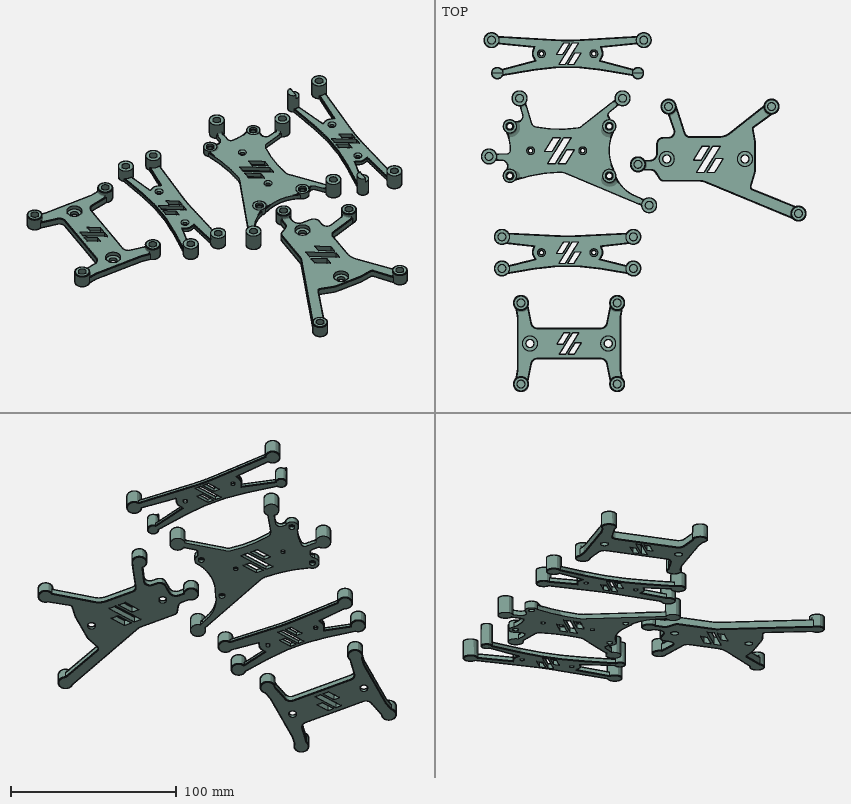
import cadquery as cq
import math

BOSS_D = 9.0
INSERT_D = 4.8
INSERT_DEPTH = 6.0
EDGE = 0.5
BOSS_FILLET = 1.3
SCREW_D = 2.5
SCREW_HEAD_D = 4.8
CLEARANCE_D = 4.8
COUNTERBORE_D = 9.0
COUNTERBORE_DEPTH = 2.5

WINDOW_LEAN = 0.62
WINDOW_WIDTH = 0.29
WINDOW_PITCH = 0.41
WINDOW_OVERLAP = 0.03

LARGE_WINDOW = 15.5
SMALL_WINDOW = 12.8


def rounded_outline(corners):
    """Closed wire through (x, y, radius) corners, each rounded by its radius (0 leaves it sharp)."""
    stretches = []
    for i, (x, y, radius) in enumerate(corners):
        before, after = corners[i - 1], corners[(i + 1) % len(corners)]
        corner = cq.Vector(x, y)
        to_before = (cq.Vector(before[0], before[1]) - corner).normalized()
        to_after = (cq.Vector(after[0], after[1]) - corner).normalized()
        if radius == 0:
            stretches.append([corner])
            continue
        half_angle = to_before.getAngle(to_after) / 2
        tangent_length = radius / math.tan(half_angle)
        bisector = (to_before + to_after).normalized()
        nearest = radius / math.sin(half_angle) - radius
        stretches.append([
            corner + to_before * tangent_length,
            corner + bisector * nearest,
            corner + to_after * tangent_length,
        ])

    edges = []
    for i, stretch in enumerate(stretches):
        if len(stretch) == 3:
            edges.append(cq.Edge.makeThreePointArc(*stretch))
        edges.append(cq.Edge.makeLine(stretch[-1], stretches[(i + 1) % len(stretches)][0]))
    return cq.Wire.assembleEdges(edges)


def prism(outline, bottom, height):
    """Straight extrusion of a closed wire."""
    return cq.Workplane("XY").add(outline).toPending().extrude(height).translate((0, 0, bottom))


def cylinders(points, diameter, bottom, top):
    """Upright cylinders at the given points."""
    return (
        cq.Workplane("XY", origin=(0, 0, bottom))
        .pushPoints(points)
        .circle(diameter / 2)
        .extrude(top - bottom)
    )


def insert_holes(points, top):
    """Blind holes drilled down from the boss tops."""
    return cylinders(points, INSERT_D, top - INSERT_DEPTH, top)


def screw_holes(points, bottom, top):
    """Through holes with a 90 degree countersink in the top face."""
    sink_depth = (SCREW_HEAD_D - SCREW_D) / 2
    holes = cylinders(points, SCREW_D, bottom, top)
    for x, y in points:
        sink = cq.Solid.makeCone(SCREW_D / 2, SCREW_HEAD_D / 2, sink_depth, cq.Vector(x, y, top - sink_depth))
        holes = holes.union(cq.Workplane(sink))
    return holes


def counterbored_holes(points, bottom, top):
    """Clearance holes with a flat counterbore in the top face."""
    heads = cylinders(points, COUNTERBORE_D, top - COUNTERBORE_DEPTH, top)
    return cylinders(points, CLEARANCE_D, bottom, top).union(heads)


def windows(center, height, bottom, top):
    """One full-height slanted window between two short ones."""
    half = height / 2
    half_width = height * WINDOW_WIDTH / 2
    reach = height * WINDOW_OVERLAP
    cutter = cq.Workplane("XY")
    for column, low, high in [(-1, -reach, half), (0, -half, half), (1, -half, reach)]:
        shift = column * height * WINDOW_PITCH
        low_x = shift + low * WINDOW_LEAN
        high_x = shift + high * WINDOW_LEAN
        window = (
            cq.Workplane("XY", origin=(center[0], center[1], bottom))
            .polyline([
                (low_x - half_width, low),
                (low_x + half_width, low),
                (high_x + half_width, high),
                (high_x - half_width, high),
            ])
            .close()
            .extrude(top - bottom)
        )
        cutter = cutter.add(window)
    return cutter.combine()


def flare(center, radius, run, rise, plate_top):
    """Concave collar that leaves the plate tangentially and climbs to a boss."""
    arc_radius = (run ** 2 + rise ** 2) / (2 * rise)
    half_sweep = math.asin(run / arc_radius) / 2
    outer = radius + run
    middle = (
        outer - arc_radius * math.sin(half_sweep),
        arc_radius * (1 - math.cos(half_sweep)),
    )
    return (
        cq.Workplane("XZ", origin=(center[0], center[1], plate_top))
        .lineTo(outer, 0)
        .threePointArc(middle, (radius, rise))
        .lineTo(0, rise)
        .close()
        .revolve(360, (0, 0, 0), (0, 1, 0))
    )


def flares(points, radius, run, rise, outline, plate_top):
    """Collars around several bosses, kept to the flat top of the plate."""
    flat_top = outline.offset2D(-EDGE)[0]
    limit = prism(flat_top, plate_top, rise)
    collars = cq.Workplane("XY")
    for point in points:
        collars = collars.add(flare(point, radius, run, rise, plate_top).intersect(limit))
    return collars.combine()


def plate(outline, bottom, top):
    """Flat plate with its top edge chamfered."""
    return prism(outline, bottom, top - bottom).faces(">Z").edges().chamfer(EDGE)


X_CENTER = -46.0
X_BOTTOM = 1.3
X_TOP = 4.3
X_SCREW_OFFSET = 15.8
X_EDGE_RADIUS = 119
X_NOSE_RADIUS = 4.3
X_WINDOW_X = X_CENTER + 0.6


def x_outline(top_peak, top_end, bottom_peak, bottom_end, upper_inner, lower_inner, nose):
    """Four arms from a waist. The peaks are the unrounded middles of the long edges."""
    right = [
        (0, top_peak, X_EDGE_RADIUS),
        (*top_end, 0),
        (*upper_inner[0], 0),
        (*upper_inner[1], 0),
        (*nose, X_NOSE_RADIUS),
        (*lower_inner[1], 0),
        (*lower_inner[0], 0),
        (*bottom_end, 0),
    ]
    left = [(-x, y, radius) for x, y, radius in reversed(right[1:])]
    corners = right + [(0, bottom_peak, X_EDGE_RADIUS)] + left
    return rounded_outline([(X_CENTER + x, y, radius) for x, y, radius in corners])


def mirrored(point):
    """Two points at the same distance on either side of the X brackets' middle."""
    return [(X_CENTER - point[0], point[1]), (X_CENTER + point[0], point[1])]


PIN_BRACKET_Y = 95.5
PIN_BRACKET_BOSS = (46.0, 103.7)
PIN_BRACKET_BOSS_TOP = 12.3
PIN = (42.5, 83.8)
PIN_D = 7.0
PIN_TOP = 15.2


def make_pin_bracket():
    outline = x_outline(
        top_peak=103.5,
        top_end=(44.4, 106.0),
        bottom_peak=89.0,
        bottom_end=(42.5, 81.8),
        upper_inner=[(44.4, 101.8), (20.4, 99.4)],
        lower_inner=[(42.5, 85.3), (19.7, 91.4)],
        nose=(21.6, 95.3),
    )
    bosses = mirrored(PIN_BRACKET_BOSS)
    pins = mirrored(PIN)
    body = (
        plate(outline, X_BOTTOM, X_TOP)
        .union(cylinders(bosses, BOSS_D, X_BOTTOM, PIN_BRACKET_BOSS_TOP))
        .union(cylinders(pins, PIN_D, X_BOTTOM, PIN_TOP))
        .faces("<Z").edges().chamfer(EDGE)
        .cut(insert_holes(bosses, PIN_BRACKET_BOSS_TOP))
        .cut(screw_holes(mirrored((X_SCREW_OFFSET, PIN_BRACKET_Y)), X_BOTTOM, X_TOP))
        .cut(windows((X_WINDOW_X, PIN_BRACKET_Y), SMALL_WINDOW, X_BOTTOM, X_TOP))
    )
    for x, y in pins:
        step = cq.Workplane("XY").box(
            PIN_D, PIN_D / 2, PIN_TOP - PIN_BRACKET_BOSS_TOP, centered=(True, False, False)
        ).translate((x, y, PIN_BRACKET_BOSS_TOP))
        body = body.cut(step)
    return body


BOSS_BRACKET_Y = -24.5
BOSS_BRACKET_BOSS = (39.6, 9.5)
BOSS_BRACKET_BOSS_TOP = 10.5


def make_boss_bracket():
    boss_x, boss_y = BOSS_BRACKET_BOSS
    outline = x_outline(
        top_peak=-14.5,
        top_end=(boss_x, -12.5),
        bottom_peak=-31.0,
        bottom_end=(boss_x, -37.7),
        upper_inner=[(boss_x, -18.6), (20.4, -20.8)],
        lower_inner=[(boss_x, -33.3), (19.7, -28.4)],
        nose=(21.6, -24.7),
    )
    bosses = mirrored((boss_x, BOSS_BRACKET_Y + boss_y)) + mirrored((boss_x, BOSS_BRACKET_Y - boss_y))
    return (
        plate(outline, X_BOTTOM, X_TOP)
        .union(cylinders(bosses, BOSS_D, X_BOTTOM, BOSS_BRACKET_BOSS_TOP))
        .faces("<Z").edges().chamfer(EDGE)
        .cut(insert_holes(bosses, BOSS_BRACKET_BOSS_TOP))
        .cut(screw_holes(mirrored((X_SCREW_OFFSET, BOSS_BRACKET_Y)), X_BOTTOM, X_TOP))
        .cut(windows((X_WINDOW_X, BOSS_BRACKET_Y), SMALL_WINDOW, X_BOTTOM, X_TOP))
    )


H_CENTER = (-45.0, -79.2)
H_BOTTOM = 2.8
H_TOP = 7.8
H_BOSS_TOP = 11.7
H_BOSS = (29.0, 24.5)
H_SCREW_OFFSET = 23.5


def make_h_plate():
    quarter = [
        (31.2, 15.8, 8.7),
        (32.7, H_BOSS[1], 0),
        (25.1, H_BOSS[1], 0),
        (22.0, 9.3, 3.7),
    ]
    cx, cy = H_CENTER
    upper = quarter + [(-x, y, radius) for x, y, radius in reversed(quarter)]
    corners = upper + [(x, -y, radius) for x, y, radius in reversed(upper)]
    outline = rounded_outline([(cx + x, cy + y, radius) for x, y, radius in corners])
    bosses = [(cx + i * H_BOSS[0], cy + j * H_BOSS[1]) for i in (-1, 1) for j in (-1, 1)]
    screws = [(cx - H_SCREW_OFFSET, cy), (cx + H_SCREW_OFFSET, cy)]
    return (
        plate(outline, H_BOTTOM, H_TOP)
        .union(cylinders(bosses, BOSS_D, H_BOTTOM, H_BOSS_TOP).faces(">Z").edges().chamfer(EDGE))
        .union(flares(bosses, BOSS_D / 2, BOSS_FILLET, BOSS_FILLET, outline, H_TOP))
        .faces("<Z").edges().chamfer(EDGE)
        .cut(insert_holes(bosses, H_BOSS_TOP))
        .cut(counterbored_holes(screws, H_BOTTOM, H_TOP))
        .cut(windows(H_CENTER, SMALL_WINDOW, H_BOTTOM, H_TOP))
    )


THICK_BOTTOM = 2.8
THICK_TOP = 7.8
THICK_BOSS_TOP = 11.3
THICK_BOSSES = [(15.0, 63.7), (77.0, 63.7), (-3.5, 28.8), (93.3, -0.9)]
THICK_SCREWS = [(13.9, 32.0), (61.0, 32.0)]
THICK_WINDOW_CENTER = (39.0, 31.8)


def make_thick_plate():
    outline = rounded_outline([
        (-3.5, 31.2, 0),
        (7.8, 31.2, 4.3),
        (7.8, 45.0, 4.1),
        (19.7, 45.0, 3.5),
        (13.2, 63.7, 0),
        (19.7, 63.7, 0),
        (25.5, 45.5, 3.2),
        (49.0, 45.5, 10.8),
        (74.5, 65.5, 0),
        (79.2, 60.5, 0),
        (65.8, 50.7, 1.3),
        (67.3, 42.5, 6.5),
        (67.3, 24.5, 6.5),
        (64.3, 14.3, 1.7),
        (93.3, 2.5, 0),
        (91.0, -4.3, 0),
        (35.5, 18.6, 6.5),
        (10.5, 18.6, 3.2),
        (6.0, 25.3, 3.2),
        (-3.5, 25.3, 0),
    ])
    bosses = cylinders(THICK_BOSSES, BOSS_D, THICK_BOTTOM, THICK_BOSS_TOP)
    return (
        plate(outline, THICK_BOTTOM, THICK_TOP)
        .union(bosses.faces(">Z").edges().chamfer(EDGE))
        .union(flares(THICK_BOSSES, BOSS_D / 2, BOSS_FILLET, BOSS_FILLET, outline, THICK_TOP))
        .faces("<Z").edges().chamfer(EDGE)
        .cut(insert_holes(THICK_BOSSES, THICK_BOSS_TOP))
        .cut(counterbored_holes(THICK_SCREWS, THICK_BOTTOM, THICK_TOP))
        .cut(windows(THICK_WINDOW_CENTER, LARGE_WINDOW, THICK_BOTTOM, THICK_TOP))
    )


THIN_TOP = 3.0
THIN_BOSS_TOP = 11.0
THIN_BOSSES = [(-75.0, 68.6), (-12.8, 68.6), (-93.3, 33.5), (3.2, 4.1)]
THIN_SCREWS = [(-68.2, 37.0), (-36.8, 37.0)]
THIN_WINDOW_CENTER = (-50.9, 37.0)
LOW_BOSSES = [(x, y) for x in (-80.8, -20.8) for y in (21.9, 51.7)]
LOW_BOSS_D = 8.0
LOW_BOSS_TOP = 4.5
LOW_BOSS_FLARE = 3.0
LOW_HOLE_D = 3.5


def make_thin_plate():
    outline = (
        cq.Workplane("XY")
        .moveTo(-93.3, 35.0)
        .lineTo(-82.7, 35.0)
        .threePointArc((-81.2, 35.7), (-80.5, 37.2))
        .threePointArc((-81.0, 42.5), (-83.5, 49.8))
        .lineTo(-80.8, 54.8)
        .lineTo(-75.8, 54.8)
        .threePointArc((-73.5, 56.3), (-73.2, 59.0))
        .lineTo(-76.0, 68.6)
        .lineTo(-72.0, 68.6)
        .lineTo(-67.8, 54.1)
        .threePointArc((-66.7, 52.2), (-64.5, 51.3))
        .threePointArc((-52.0, 50.0), (-39.5, 50.9))
        .threePointArc((-38.0, 51.3), (-36.8, 52.5))
        .lineTo(-15.0, 69.5)
        .lineTo(-13.0, 66.5)
        .lineTo(-20.5, 60.5)
        .threePointArc((-21.5, 58.9), (-20.8, 57.2))
        .lineTo(-17.8, 49.4)
        .threePointArc((-20.8, 36.8), (-18.2, 26.0))
        .threePointArc((-14.5, 17.3), (-7.4, 10.8))
        .lineTo(3.2, 6.0)
        .lineTo(2.2, 2.5)
        .lineTo(-47.2, 23.4)
        .threePointArc((-48.7, 23.8), (-50.2, 24.0))
        .threePointArc((-65.0, 22.5), (-79.2, 18.6))
        .lineTo(-83.5, 25.0)
        .threePointArc((-82.5, 29.2), (-84.9, 31.2))
        .lineTo(-93.3, 31.2)
        .close()
        .val()
    )
    rise = LOW_BOSS_TOP - THIN_TOP
    return (
        prism(outline, 0, THIN_TOP)
        .union(cylinders(THIN_BOSSES, BOSS_D, 0, THIN_BOSS_TOP))
        .union(cylinders(LOW_BOSSES, LOW_BOSS_D, 0, LOW_BOSS_TOP))
        .union(flares(THIN_BOSSES, BOSS_D / 2, BOSS_FILLET, BOSS_FILLET, outline, THIN_TOP))
        .union(flares(LOW_BOSSES, LOW_BOSS_D / 2, LOW_BOSS_FLARE, rise, outline, THIN_TOP))
        .cut(insert_holes(THIN_BOSSES, THIN_BOSS_TOP))
        .cut(cylinders(LOW_BOSSES, LOW_HOLE_D, 0, LOW_BOSS_TOP))
        .cut(cylinders(LOW_BOSSES, INSERT_D, THIN_TOP, LOW_BOSS_TOP))
        .cut(screw_holes(THIN_SCREWS, 0, THIN_TOP))
        .cut(windows(THIN_WINDOW_CENTER, LARGE_WINDOW, 0, THIN_TOP))
    )


pin_bracket = make_pin_bracket()
boss_bracket = make_boss_bracket()
h_plate = make_h_plate()
thick_plate = make_thick_plate()
thin_plate = make_thin_plate()

result = cq.Compound.makeCompound([
    pin_bracket.val(),
    thin_plate.val(),
    thick_plate.val(),
    boss_bracket.val(),
    h_plate.val(),
])